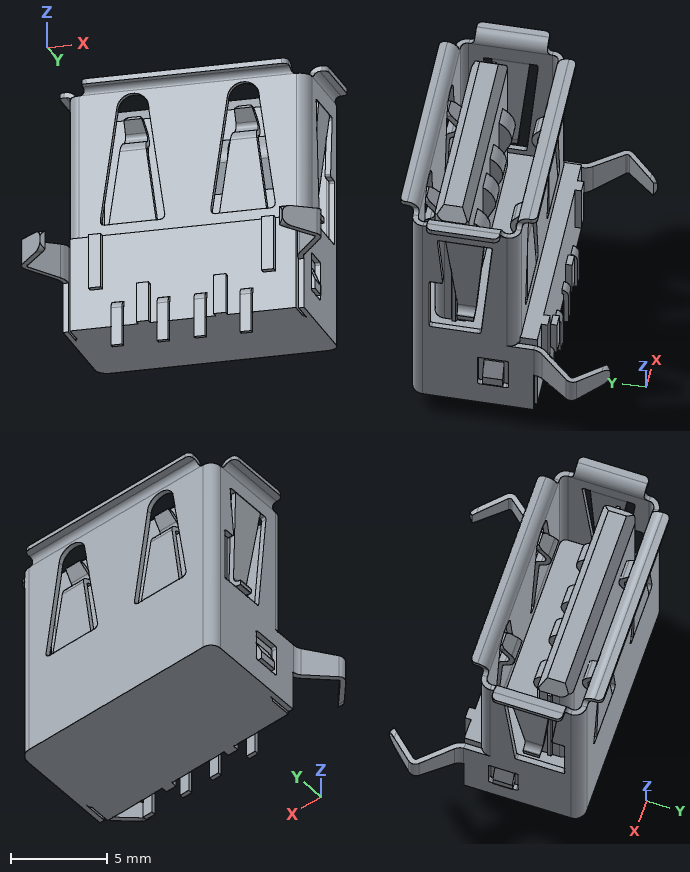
import cadquery as cq
import math

sheet = 0.3
shell_half_x = 6.55
shell_half_y = 2.88
shell_corner_radius = 0.65
shell_top = 13.36
inner_half_x = shell_half_x - sheet
inner_half_y = shell_half_y - sheet
sleeve_front_bottom = 4.77
side_plate_front = -3.65

lip_top = 14.0
lip_reach = 0.75
lip_corner_radius = 0.3
lip_root_radius = 0.28
front_lip_half_length = 5.61
side_lip_half_length = 1.93

leaf_x = 3.0
leaf_root_z = 6.03
leaf_root_half = 1.28
leaf_tip_half = 0.45
leaf_tip_z = 12.0
leaf_tip_radius = 0.33
leaf_knee = (0.1, 10.38)
leaf_crest = (1.11, 10.745)
leaf_end = (0.0, 11.86)
leaf_bend_radii = (0.2, 0.46, 0.475)
window_root_half = 1.79
window_shoulder = (0.86, 12.4)
window_top = 13.19
window_corner_radius = 0.25

side_leaf_root_z = 12.37
side_leaf_root_half = 1.01
side_leaf_tip_half = 0.43
side_leaf_tip_z = 6.16
side_leaf_hook_z = side_leaf_tip_z + sheet / 2
side_leaf_crest = (0.63, side_leaf_hook_z)
side_leaf_end = (0.0, side_leaf_hook_z)
side_leaf_bend_radii = (0.4, 0.52)
side_window_bottom = 5.45
side_window_root_half = 1.46
side_window_tip_half = 0.85
side_window_notch_y = 1.88
side_window_notch_top = 9.0
side_window_corner_radius = 0.12

housing_top = 5.11
housing_half_x = 6.13
housing_front = -3.77
rib_front = -4.11
rib_width = 0.66
rib_split_z = 2.15
upper_rib_x = 4.7
lower_rib_x = 2.1

tongue_half_x = 5.56
tongue_front = 0.0
tongue_back = 1.86
tongue_top = 13.5
tongue_shoulder = 12.83
tongue_top_half_x = 5.01
tongue_top_front = 0.41
tongue_top_back = 1.4
tongue_back_radius = 0.6
tongue_front_chamfer = 0.17
key_back = 0.88
key_front = 0.6
key_height = 0.11
key_taper = 0.05

terminal_columns = (-3.5, -1.0, 1.0, 3.5)
contact_width = 1.02
contact_top = 11.17
contact_crest = (-0.64, 9.7)
contact_bottom = 8.2
pin_width = 0.6
pin_thickness = 0.25
pin_top = 1.34
pin_bottom = -1.16
pin_bend_radius = 0.3

arm_root_z = (2.72, 4.77)
arm_tip_z = (3.22, 4.24)
arm_tip_y = -7.74
arm_tip_radius = 0.45
arm_bend_y = -3.98
arm_elbow = (-8.06, -5.92)
arm_end = (-6.47, -7.64)
arm_bend_radii = (0.82, 0.28)

latch_window_y = (-2.31, -0.67)
latch_window_z = (1.45, 3.54)
latch_window_radius = 0.12
latch_y = (-2.03, -0.96)
latch_z = (1.63, 2.15, 3.08)
latch_half_x = 6.66


def box(x, y, z):
    """Box spanning the (low, high) pairs given for each axis."""
    size = (x[1] - x[0], y[1] - y[0], z[1] - z[0])
    return cq.Workplane("XY").box(*size, centered=False).translate((x[0], y[0], z[0]))


def strip(plane, path, thickness, bend_radii, length):
    """Bent sheet: a constant-thickness section along a path of straight runs
    joined by arcs, extruded equally to both sides of the plane. There is one
    centre-line radius for each corner of the path."""
    half = thickness / 2
    runs = []
    for (x0, y0), (x1, y1) in zip(path, path[1:]):
        run = math.hypot(x1 - x0, y1 - y0)
        runs.append(((x1 - x0) / run, (y1 - y0) / run))

    def shifted(point, direction, side):
        return (point[0] - direction[1] * side, point[1] + direction[0] * side)

    def edge_of(side):
        """Start point, then (tangent point, arc middle, tangent point) per bend, then end."""
        bends = []
        for corner, bend_radius, before, after in zip(path[1:], bend_radii, runs, runs[1:]):
            cross = before[0] * after[1] - before[1] * after[0]
            dot = before[0] * after[0] + before[1] * after[1]
            angle = math.atan2(cross, dot)
            setback = bend_radius * math.tan(abs(angle) / 2)
            entry = (corner[0] - before[0] * setback, corner[1] - before[1] * setback)
            leave = (corner[0] + after[0] * setback, corner[1] + after[1] * setback)
            centre = shifted(entry, before, math.copysign(bend_radius, angle))
            middle_run = math.atan2(before[1], before[0]) + angle / 2
            direction = (math.cos(middle_run), math.sin(middle_run))
            middle = shifted(centre, direction, side - math.copysign(bend_radius, angle))
            bends.append((shifted(entry, before, side), middle, shifted(leave, after, side)))
        return shifted(path[0], runs[0], side), bends, shifted(path[-1], runs[-1], side)

    start, bends, end = edge_of(half)
    section = cq.Workplane(plane).moveTo(*start)
    for entry, middle, leave in bends:
        section = section.lineTo(*entry).threePointArc(middle, leave)
    section = section.lineTo(*end)
    start, bends, end = edge_of(-half)
    section = section.lineTo(*end)
    for entry, middle, leave in reversed(bends):
        section = section.lineTo(*leave).threePointArc(middle, entry)
    return section.lineTo(*start).close().extrude(length / 2, both=True)


def through_y(outline):
    """Extrude an XZ outline right across the part along Y."""
    return outline.extrude(2 * shell_half_x, both=True)


def both_sides_x(solid):
    return solid.union(solid.mirror("YZ"))


def both_sides_y(solid):
    return solid.union(solid.mirror("XZ"))


def turn_to_side(solid):
    """Carry something built on the -Y wall round to the -X wall."""
    return solid.rotate((0, 0, 0), (0, 0, 1), -90)


def sleeve():
    outer = cq.Workplane("XY").rect(2 * shell_half_x, 2 * shell_half_y).extrude(shell_top)
    outer = outer.edges("|Z").fillet(shell_corner_radius)
    inner = cq.Workplane("XY").rect(2 * inner_half_x, 2 * inner_half_y).extrude(shell_top)
    inner = inner.edges("|Z").fillet(shell_corner_radius - sheet)
    front_relief_back = -shell_half_y + shell_corner_radius
    front_relief = box(
        (-shell_half_x, shell_half_x), (-shell_half_y, front_relief_back), (0, sleeve_front_bottom)
    )
    side_plate = box(
        (-shell_half_x, -inner_half_x), (side_plate_front, front_relief_back), (0, sleeve_front_bottom)
    )
    return outer.cut(inner).cut(front_relief).union(both_sides_x(side_plate))


def lip(wall_half, half_length):
    """Outward-rolled lip on the -Y wall whose outer face lies at y = -wall_half."""
    centre_y = -wall_half + sheet / 2
    centre_z = lip_top - sheet / 2
    tip_y = -wall_half - lip_reach
    bend_radius = centre_z - shell_top
    root_half = half_length + lip_root_radius
    path = [(centre_y, shell_top - sheet), (centre_y, centre_z), (tip_y, centre_z)]
    rolled = strip("YZ", path, sheet, [bend_radius], 2 * root_half)

    sagitta = lip_root_radius * (1 - math.sqrt(0.5))
    root_end_z = shell_top + lip_root_radius
    outline = (
        cq.Workplane("XZ")
        .moveTo(-root_half, shell_top - sheet)
        .lineTo(root_half, shell_top - sheet)
        .lineTo(root_half, shell_top)
        .threePointArc((half_length + sagitta, shell_top + sagitta), (half_length, root_end_z))
        .lineTo(half_length, lip_top)
        .lineTo(-half_length, lip_top)
        .lineTo(-half_length, root_end_z)
        .threePointArc((-half_length - sagitta, shell_top + sagitta), (-root_half, shell_top))
        .close()
    )
    rolled = rolled.intersect(through_y(outline))
    tip_corners = rolled.faces("<Y").edges("|Z")
    return tip_corners.fillet(lip_corner_radius)


def leaf_window():
    """Tapered, round-topped opening through both the front and back walls."""
    half, shoulder_z = window_shoulder
    outline = (
        cq.Workplane("XZ")
        .moveTo(-window_root_half, leaf_root_z)
        .lineTo(window_root_half, leaf_root_z)
        .lineTo(half, shoulder_z)
        .threePointArc((0, window_top), (-half, shoulder_z))
        .close()
    )
    opening = through_y(outline)
    return opening.faces("<Z").edges("|Y").fillet(window_corner_radius)


def contact_leaf():
    """Spring leaf rising from the foot of a front window, bowed into the mouth."""
    wall_y = -shell_half_y + sheet / 2
    path = [(wall_y, leaf_root_z - sheet), (wall_y, leaf_root_z)]
    path += [(wall_y + travel, z) for travel, z in (leaf_knee, leaf_crest, leaf_end)]
    bowed = strip("YZ", path, sheet, leaf_bend_radii, 2 * window_root_half)
    outline = (
        cq.Workplane("XZ")
        .moveTo(-leaf_root_half, leaf_root_z - sheet)
        .lineTo(leaf_root_half, leaf_root_z - sheet)
        .lineTo(leaf_root_half, leaf_root_z)
        .lineTo(leaf_tip_half, leaf_tip_z)
        .lineTo(-leaf_tip_half, leaf_tip_z)
        .lineTo(-leaf_root_half, leaf_root_z)
        .close()
    )
    blade = through_y(outline).faces(">Z").edges("|Y").fillet(leaf_tip_radius)
    return bowed.intersect(blade)


def side_window():
    """Tapered opening in the -X wall with a square notch on its back side."""
    opening = (
        cq.Workplane("YZ")
        .moveTo(-side_window_root_half, side_leaf_root_z)
        .lineTo(side_window_root_half, side_leaf_root_z)
        .lineTo(side_window_tip_half, side_window_bottom)
        .lineTo(-side_window_tip_half, side_window_bottom)
        .close()
        .extrude(-2 * shell_half_x)
    )
    notch = box(
        (-2 * shell_half_x, 0),
        (0, side_window_notch_y),
        (side_window_bottom, side_window_notch_top),
    )
    return opening.union(notch).edges("|X").fillet(side_window_corner_radius)


def side_leaf():
    """Spring leaf hanging from the head of a side window and hooked outward at its
    tip, built on the -Y wall and turned."""
    wall_y = -shell_half_x + sheet / 2
    path = [(wall_y, side_leaf_root_z + sheet), (wall_y, side_leaf_root_z)]
    path += [(wall_y + travel, z) for travel, z in (side_leaf_crest, side_leaf_end)]
    bowed = strip("YZ", path, sheet, side_leaf_bend_radii, 2 * side_leaf_root_half)
    outline = (
        cq.Workplane("XZ")
        .moveTo(-side_leaf_root_half, side_leaf_root_z + sheet)
        .lineTo(side_leaf_root_half, side_leaf_root_z + sheet)
        .lineTo(side_leaf_root_half, side_leaf_root_z)
        .lineTo(side_leaf_tip_half, side_leaf_tip_z)
        .lineTo(-side_leaf_tip_half, side_leaf_tip_z)
        .lineTo(-side_leaf_root_half, side_leaf_root_z)
        .close()
    )
    return turn_to_side(bowed.intersect(through_y(outline)))


def locking_arm():
    """Board-lock arm on the -X side: runs forward, kicks out, then folds back in."""
    plate_x = -shell_half_x + sheet / 2
    path = [(plate_x, side_plate_front + sheet), (plate_x, arm_bend_y), arm_elbow, arm_end]
    bent = strip("XY", path, sheet, arm_bend_radii, 4 * housing_top)
    outline = (
        cq.Workplane("YZ")
        .moveTo(side_plate_front + sheet, arm_root_z[0])
        .lineTo(side_plate_front, arm_root_z[0])
        .lineTo(arm_tip_y, arm_tip_z[0])
        .lineTo(arm_tip_y, arm_tip_z[1])
        .lineTo(side_plate_front, arm_root_z[1])
        .lineTo(side_plate_front + sheet, arm_root_z[1])
        .close()
        .extrude(2 * shell_half_x, both=True)
    )
    outline = outline.faces("<Y").edges("|X").fillet(arm_tip_radius)
    return bent.intersect(outline)


def latch_window():
    opening = box((-2 * shell_half_x, 2 * shell_half_x), latch_window_y, latch_window_z)
    return opening.edges("|X").fillet(latch_window_radius)


def latch():
    """Ramped snap nib on the -X flank of the housing."""
    bottom, flat_top, ramp_top = latch_z
    profile = [
        (-housing_half_x, bottom),
        (-latch_half_x, bottom),
        (-latch_half_x, flat_top),
        (-inner_half_x, ramp_top),
        (-housing_half_x, ramp_top),
    ]
    nib = cq.Workplane("XZ").polyline(profile).close().extrude(latch_y[1] - latch_y[0])
    return nib.translate((0, latch_y[1], 0))


def housing():
    inside = box((-inner_half_x, inner_half_x), (-inner_half_y, inner_half_y), (0, housing_top))
    inside = inside.edges("|Z").fillet(shell_corner_radius - sheet)
    apron = box((-housing_half_x, housing_half_x), (housing_front, 0), (0, housing_top))
    block = inside.union(apron)
    ribs = ((upper_rib_x, rib_split_z, housing_top), (lower_rib_x, 0, rib_split_z))
    for centre, bottom, top in ribs:
        span = (centre - rib_width / 2, centre + rib_width / 2)
        block = block.union(both_sides_x(box(span, (rib_front, housing_front), (bottom, top))))
    return block.union(both_sides_x(latch()))


def tongue():
    size_y = tongue_back - tongue_front
    middle_y = (tongue_back + tongue_front) / 2
    bar = cq.Workplane("XY").box(2 * tongue_half_x, size_y, tongue_top, centered=(True, True, False))
    bar = bar.translate((0, middle_y, 0))
    bar = bar.edges("|Z and >Y").fillet(tongue_back_radius)
    bar = bar.edges("|Z and <Y").chamfer(tongue_front_chamfer)

    top_y = (tongue_top_front + tongue_top_back) / 2
    lead_in = (
        cq.Workplane("XY", origin=(0, middle_y, tongue_shoulder))
        .rect(2 * tongue_half_x, size_y)
        .workplane(offset=tongue_top - tongue_shoulder)
        .center(0, top_y - middle_y)
        .rect(2 * tongue_top_half_x, tongue_top_back - tongue_top_front)
        .loft(ruled=True)
    )
    shank = box(
        (-tongue_half_x, tongue_half_x), (tongue_front, tongue_back), (0, tongue_shoulder)
    )
    bar = bar.intersect(shank.union(lead_in))

    key_tip_x = -tongue_half_x - key_height
    key = (
        cq.Workplane("XY")
        .moveTo(0, key_front)
        .lineTo(-tongue_half_x, key_front)
        .lineTo(key_tip_x, key_front + key_taper)
        .lineTo(key_tip_x, key_back - key_taper)
        .lineTo(-tongue_half_x, key_back)
        .lineTo(0, key_back)
        .close()
        .extrude(tongue_shoulder)
    )
    return bar.union(both_sides_x(key))


def contact_bump(x):
    """Crowned contact standing proud of the front of the tongue."""
    crest_y, crest_z = contact_crest
    rise = contact_top - crest_z
    crown_mid = (crest_y * math.sqrt(0.5), crest_z + rise * math.sqrt(0.5))
    section = (
        cq.Workplane("YZ", origin=(x, 0, 0))
        .moveTo(tongue_top_front, contact_bottom)
        .lineTo(tongue_front, contact_bottom)
        .lineTo(crest_y, crest_z)
        .threePointArc(crown_mid, (tongue_front, contact_top))
        .lineTo(tongue_top_front, contact_top)
        .close()
    )
    return section.extrude(contact_width / 2, both=True)


def solder_pin(x):
    """Pin leaving the front of the housing and turning straight down."""
    half = pin_thickness / 2
    turn = (rib_front + half, pin_top - half)
    path = [(housing_front + sheet, turn[1]), turn, (turn[0], pin_bottom)]
    pin = strip("YZ", path, pin_thickness, [pin_bend_radius], pin_width)
    return pin.translate((x, 0, 0))


shell = sleeve()
shell = shell.union(both_sides_y(lip(shell_half_y, front_lip_half_length)))
shell = shell.union(both_sides_x(turn_to_side(lip(shell_half_x, side_lip_half_length))))
for column in (-leaf_x, leaf_x):
    shell = shell.cut(leaf_window().translate((column, 0, 0)))
    shell = shell.union(both_sides_y(contact_leaf().translate((column, 0, 0))))
shell = shell.cut(both_sides_x(side_window())).union(both_sides_x(side_leaf()))
shell = shell.cut(latch_window()).union(both_sides_x(locking_arm()))

result = shell.union(housing()).union(tongue())
for column in terminal_columns:
    result = result.union(contact_bump(column)).union(solder_pin(column))